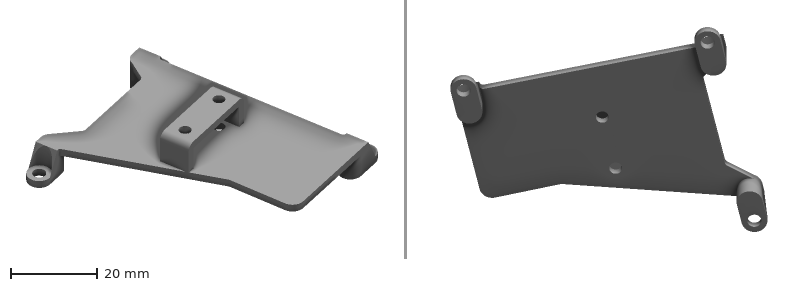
import cadquery as cq

length = 64.0
foot_width = 6.0
foot_radius = foot_width / 2
rear_hole_y = 48.95
sheet = 2.0
plate_top = 8.0
plate_bottom = plate_top - sheet
total_height = 16.0

rear_edge_y = 44.9
notch_x = 7.05
notch_rear_y = 36.6
notch_front_y = 12.75
left_rear_corner_y = 41.5
left_front_corner_y = 6.3
taper_start_y = 3.85
taper_end_x = 45.25
taper_end_y = 16.1
right_front_y = 15.95
inside_radius = 0.95
notch_radius = 1.3
taper_radius = 1.3

rear_leg_reach = 6.0
front_leg_reach = 5.0
foot_hole_diameter = 3.25

bracket_width = 8.0
bracket_span = 23.0
bracket_x = length / 2
bracket_y = rear_hole_y / 2
bracket_hole_diameter = 3.0
bracket_hole_pitch = 14.0


def make_plate():
    front_y = foot_radius
    rear_y = rear_hole_y - foot_radius
    right_foot_x = length - foot_width
    outline = [
        (0, front_y),
        (foot_width, front_y),
        (foot_width, taper_start_y),
        (taper_end_x, taper_end_y),
        (length, right_front_y),
        (length, rear_y),
        (right_foot_x, rear_y),
        (right_foot_x, rear_edge_y),
        (foot_width, rear_edge_y),
        (foot_width, rear_y),
        (0, rear_y),
        (0, left_rear_corner_y),
        (notch_x, notch_rear_y),
        (notch_x, notch_front_y),
        (0, left_front_corner_y),
    ]
    plate = cq.Workplane("XY").workplane(offset=plate_bottom).polyline(outline).close().extrude(sheet)
    blends = [
        (foot_radius, [(0, left_rear_corner_y), (0, left_front_corner_y), (length, right_front_y)]),
        (notch_radius, [(notch_x, notch_rear_y), (notch_x, notch_front_y)]),
        (taper_radius, [(taper_end_x, taper_end_y)]),
        (inside_radius, [(right_foot_x, rear_edge_y), (foot_width, rear_edge_y)]),
        (inside_radius / 2, [(foot_width, taper_start_y)]),
    ]
    for radius, corners in blends:
        for x, y in corners:
            corner = cq.selectors.NearestToPointSelector((x, y, plate_top - sheet / 2))
            plate = plate.edges("|Z").edges(corner).fillet(radius)
    return plate


def make_foot(x, hole_y, inward, reach):
    """Rounded leg with a sloped outer end, a screw-head clearance and a thin lug."""
    slot_y = hole_y + inward * reach / 2
    foot = (
        cq.Workplane("XY")
        .center(x, slot_y)
        .slot2D(reach + foot_width, foot_width, 90)
        .extrude(plate_top)
    )
    outside_slope = (
        cq.Workplane("YZ")
        .workplane(offset=x - foot_width)
        .polyline([
            (hole_y + inward * foot_radius, plate_top),
            (hole_y, sheet),
            (hole_y - inward * foot_width, sheet),
            (hole_y - inward * foot_width, plate_top),
        ])
        .close()
        .extrude(2 * foot_width)
    )
    head_clearance = (
        cq.Workplane("XY").workplane(offset=sheet).center(x, hole_y).circle(foot_radius).extrude(plate_bottom)
    )
    hole = cq.Workplane("XY").center(x, hole_y).circle(foot_hole_diameter / 2).extrude(sheet)
    return foot.cut(outside_slope).cut(head_clearance).cut(hole)


def make_bracket():
    height = total_height - plate_top
    base = cq.Workplane("XY").workplane(offset=plate_top).center(bracket_x, bracket_y)
    outer = base.rect(bracket_width, bracket_span).extrude(height)
    outer = outer.edges("|X and >Z").fillet(sheet)
    opening = base.rect(bracket_width, bracket_span - 2 * sheet).extrude(height - sheet)
    return outer.cut(opening)


def make_bracket_holes():
    """Cutters that pass through both the bracket and the plate."""
    return (
        cq.Workplane("XY")
        .center(bracket_x, bracket_y)
        .rarray(0.65, bracket_hole_pitch, 1, 2)
        .circle(bracket_hole_diameter / 2)
        .extrude(total_height)
    )


result = make_plate()
feet = [
    (foot_radius, 0, 1, front_leg_reach),
    (foot_radius, rear_hole_y, -1, rear_leg_reach),
    (length - foot_radius, rear_hole_y, -1, rear_leg_reach),
]
for foot_x, foot_hole_y, inward_direction, leg_reach in feet:
    result = result.union(make_foot(foot_x, foot_hole_y, inward_direction, leg_reach))
result = result.union(make_bracket()).cut(make_bracket_holes())